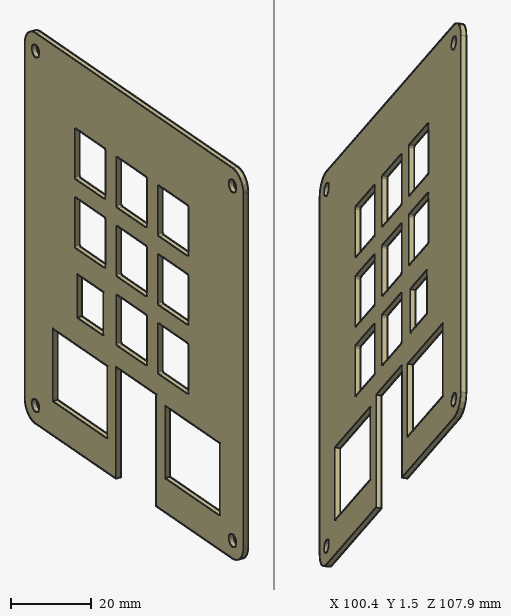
import cadquery as cq

PLATE_WIDTH = 100.39
PLATE_HEIGHT = 107.94
PLATE_THICKNESS = 1.5
CORNER_RADIUS = 5.0

MOUNT_HOLE_DIAMETER = 3.4
MOUNT_HOLE_INSET = CORNER_RADIUS

KEY_PITCH = 19.05
KEY_SIZE = 14.0
KEY_CORNER_RADIUS = 0.5
GRID_CENTER_X = -1.1
GRID_CENTER_Z = 9.1

SMALL_OPENING_SIZE = 12.0
SMALL_OPENING_X = -20.1
SMALL_OPENING_Z = -10.8

WINDOW_WIDTH = 25.0
WINDOW_HEIGHT = 20.0
WINDOW_CENTERS_X = (-24.8, 26.8)
WINDOW_CENTER_Z = -34.5

NOTCH_WIDTH = 18.3
NOTCH_DEPTH = 30.9
NOTCH_CENTER_X = 0.9


def block(width, height, center_x, center_z):
    """Rectangular block through the plate thickness."""
    return cq.Workplane("XY").box(width, PLATE_THICKNESS, height).translate((center_x, 0, center_z))


def make_plate():
    plate = block(PLATE_WIDTH, PLATE_HEIGHT, 0, 0)
    return plate.edges("|Y").fillet(CORNER_RADIUS)


def cut_mounting_holes(plate):
    spacing_x = PLATE_WIDTH - 2 * MOUNT_HOLE_INSET
    spacing_z = PLATE_HEIGHT - 2 * MOUNT_HOLE_INSET
    holes = (
        cq.Workplane("XZ")
        .rect(spacing_x, spacing_z, forConstruction=True)
        .vertices()
        .circle(MOUNT_HOLE_DIAMETER / 2)
        .extrude(PLATE_THICKNESS / 2, both=True)
    )
    return plate.cut(holes)


def cut_key_openings(plate):
    key = block(KEY_SIZE, KEY_SIZE, GRID_CENTER_X, GRID_CENTER_Z)
    key = key.edges("|Y").fillet(KEY_CORNER_RADIUS)
    for column in (-1, 0, 1):
        for row in (-1, 0, 1):
            if (column, row) != (-1, -1):
                plate = plate.cut(key.translate((column * KEY_PITCH, 0, row * KEY_PITCH)))
    return plate


def cut_small_opening(plate):
    return plate.cut(block(SMALL_OPENING_SIZE, SMALL_OPENING_SIZE, SMALL_OPENING_X, SMALL_OPENING_Z))


def cut_windows(plate):
    for center_x in WINDOW_CENTERS_X:
        plate = plate.cut(block(WINDOW_WIDTH, WINDOW_HEIGHT, center_x, WINDOW_CENTER_Z))
    return plate


def cut_notch(plate):
    notch_center_z = (NOTCH_DEPTH - PLATE_HEIGHT) / 2
    return plate.cut(block(NOTCH_WIDTH, NOTCH_DEPTH, NOTCH_CENTER_X, notch_center_z))


result = make_plate()
result = cut_mounting_holes(result)
result = cut_key_openings(result)
result = cut_small_opening(result)
result = cut_windows(result)
result = cut_notch(result)